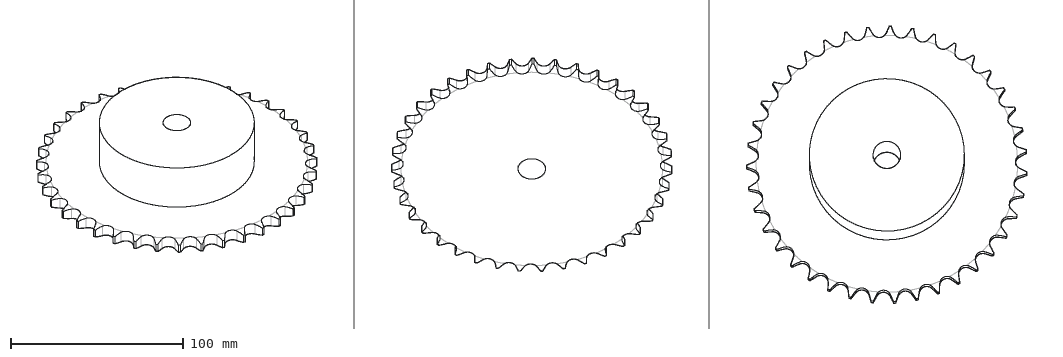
import cadquery as cq
import math

tooth_count = 39
overall_width = 162.6
tip_half_angle = 0.6
root_diameter = 149.3
plate_thickness = 7.0

seat_diameter = 8.6
seat_half_angle = 60.0
flank_radius = 40.7

flat_face_diameter = 151.5
tip_relief = 1.0

hub_diameter = 90.0
overall_height = 35.0
bore_diameter = 16.0

flat_face_radius = flat_face_diameter / 2
seat_radius = seat_diameter / 2
seat_center_radius = root_diameter / 2 + seat_radius
pitch_angle = 360.0 / tooth_count
width_corner_angle = math.radians(pitch_angle / 4 - tip_half_angle)
outer_radius = overall_width / 2 / math.cos(width_corner_angle)
first_gap_angle = -90.0 + pitch_angle / 2
clearance = 1.6


def polar_offset(center, radius, degrees):
    """Point at the given distance and direction from a center."""
    angle = math.radians(degrees)
    return (center[0] + radius * math.cos(angle), center[1] + radius * math.sin(angle))


def plate_blank():
    """Toothless disc whose rim is narrowed by an arc tangent to each flat face."""
    rim_depth = outer_radius - flat_face_radius
    relief_radius = (rim_depth**2 + tip_relief**2) / (2 * tip_relief)
    half_sweep = math.degrees(math.asin(rim_depth / relief_radius)) / 2
    lower_center = (flat_face_radius, relief_radius)
    upper_center = (flat_face_radius, plate_thickness - relief_radius)
    return (
        cq.Workplane("XZ")
        .lineTo(flat_face_radius, 0)
        .threePointArc(
            polar_offset(lower_center, relief_radius, -90 + half_sweep),
            (outer_radius, tip_relief),
        )
        .lineTo(outer_radius, plate_thickness - tip_relief)
        .threePointArc(
            polar_offset(upper_center, relief_radius, 90 - half_sweep),
            (flat_face_radius, plate_thickness),
        )
        .lineTo(0, plate_thickness)
        .close()
        .revolve(360, (0, 0, 0), (0, 1, 0))
    )


def tooth_gap():
    """Cutter for one gap between teeth, opening outwards along +X."""
    seat_center = (seat_center_radius, 0)
    seat_start = polar_offset(seat_center, seat_radius, 180 + seat_half_angle)
    seat_bottom = (seat_center_radius - seat_radius, 0)
    seat_end = (seat_start[0], -seat_start[1])

    flank_center = polar_offset(seat_center, flank_radius - seat_radius, -seat_half_angle)
    mouth_x = outer_radius + clearance
    mouth_angle = math.degrees(math.acos((mouth_x - flank_center[0]) / flank_radius))
    flank_middle_angle = (mouth_angle + 180 - seat_half_angle) / 2
    flank_middle = polar_offset(flank_center, flank_radius, flank_middle_angle)
    mouth = polar_offset(flank_center, flank_radius, mouth_angle)

    return (
        cq.Workplane("XY")
        .workplane(offset=-clearance)
        .moveTo(*seat_start)
        .threePointArc(seat_bottom, seat_end)
        .threePointArc(flank_middle, mouth)
        .lineTo(mouth[0], -mouth[1])
        .threePointArc((flank_middle[0], -flank_middle[1]), seat_start)
        .close()
        .extrude(plate_thickness + 2 * clearance)
    )


def toothed_plate():
    """Plate with every tooth gap cut around its rim."""
    gap = tooth_gap().val()
    gaps = [
        gap.rotate(cq.Vector(0, 0, 0), cq.Vector(0, 0, 1), first_gap_angle + i * pitch_angle)
        for i in range(tooth_count)
    ]
    return cq.Workplane(plate_blank().val().cut(*gaps))


hub = cq.Workplane("XY").circle(hub_diameter / 2).extrude(overall_height)
bore = cq.Workplane("XY").circle(bore_diameter / 2).extrude(overall_height)

result = toothed_plate().union(hub).cut(bore)